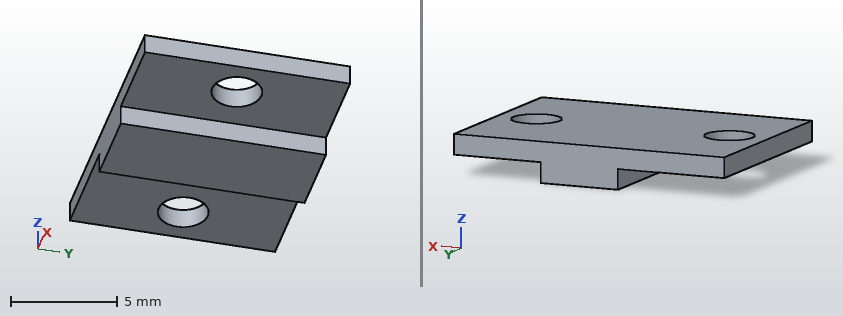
import cadquery as cq

length = 14.0
width = 10.0
height = 2.0

plate_thickness = height / 2
rib_height = height - plate_thickness

rib_length = 4.0
rib_left_margin = 5.5

hole_diameter = 2.4
hole_end_margin = 2.0
hole_spacing = length - 2 * hole_end_margin


def make_plate():
    """Flat plate with its underside on Z = 0 and two through holes."""
    plate = cq.Workplane("XY").box(length, width, plate_thickness, centered=(True, True, False))
    hole_centres = [(-hole_spacing / 2, 0), (hole_spacing / 2, 0)]
    return plate.faces(">Z").workplane().pushPoints(hole_centres).hole(hole_diameter)


def make_rib():
    """Rectangular rib across the full width, hanging below the plate."""
    rib_centre_x = -length / 2 + rib_left_margin + rib_length / 2
    rib = cq.Workplane("XY").box(rib_length, width, rib_height, centered=(True, True, False))
    return rib.translate((rib_centre_x, 0, -rib_height))


result = make_plate().union(make_rib())